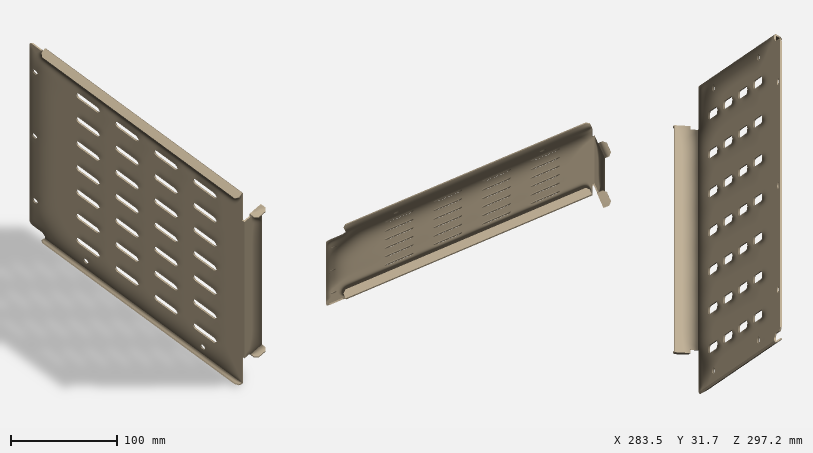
import cadquery as cq
import math

thickness = 1.5

overall_width = 283.5
overall_depth = 31.66
overall_height = 297.2
plate_right = 273.0

lip_left = 20.0
lip_slope = math.radians(30.0)
lip_projection = 7.2
lip_length = plate_right - lip_left
lip_corner_chamfer = 3.0

strip_height = 281.4
strip_corner_chamfer = 3.0
shoulder = 3.0

wall_outer_x = 276.0
wall_inner_x = wall_outer_x - thickness
wall_height = 212.0
hook_span = 218.5
hook_depth = 15.7
hook_corner_chamfer = 3.0

slot_length = 30.0
slot_width = 8.0
slot_columns = 4
slot_rows = 7
slot_pitch_x = 50.0
slot_pitch_z = 37.5
slot_first_x = 75.0

hole_diameter = 6.5
lip_hole_xs = (72.5, 222.5)
lip_hole_z = 136.0
side_hole_pitch = 100.0
side_hole_x = 7.5
middle_hole_x = 6.75

ridge_z = overall_height / 2
plate_top_z = ridge_z - thickness / math.cos(lip_slope)
rear_y = overall_depth - lip_projection
hook_front_y = rear_y - hook_depth


def box(x0, x1, y0, y1, z0, z1):
    """Axis-aligned block between two corners."""
    return cq.Workplane("XY").box(x1 - x0, y1 - y0, z1 - z0, centered=False).translate((x0, y0, z0))


def both_ends(shape):
    """The shape at the top end together with its mirror image at the bottom end."""
    return shape.union(shape.mirror("XY"))


def make_plate():
    """Flat plate with a chamfered narrow strip and a sloping shoulder up to the lips."""
    strip_top = strip_height / 2
    upper = [
        (0, strip_top - strip_corner_chamfer),
        (strip_corner_chamfer, strip_top),
        (lip_left - shoulder, strip_top),
        (lip_left, strip_top + shoulder),
        (lip_left, plate_top_z),
        (plate_right, plate_top_z),
    ]
    lower = [(x, -z) for x, z in reversed(upper)]
    return cq.Workplane("XZ").polyline(upper + lower).close().extrude(-thickness)


def make_lip():
    """Top lip: a sloping slab that meets the plate in a sharp ridge above the front face."""
    rise = lip_projection * math.tan(lip_slope)
    outer_tip = (-lip_projection, ridge_z - rise)
    inner_tip = (
        outer_tip[0] + thickness * math.sin(lip_slope),
        outer_tip[1] - thickness * math.cos(lip_slope),
    )
    lip = (
        cq.Workplane("YZ", origin=(lip_left, 0, 0))
        .polyline([(thickness, plate_top_z), (0, ridge_z), outer_tip, inner_tip, (0, plate_top_z)])
        .close()
        .extrude(lip_length)
    )
    across_sheet = cq.selectors.ParallelDirSelector(
        cq.Vector(0, math.sin(lip_slope), -math.cos(lip_slope))
    )
    return lip.faces("<Y").edges(across_sheet).chamfer(lip_corner_chamfer)


def make_wall():
    foot = box(plate_right, wall_outer_x, 0, thickness, -wall_height / 2, wall_height / 2)
    wall = box(wall_inner_x, wall_outer_x, 0, rear_y, -wall_height / 2, wall_height / 2)
    return foot.union(wall)


def make_hook():
    web = box(wall_inner_x, wall_outer_x, hook_front_y, rear_y, 0, hook_span / 2)
    flange = box(
        wall_inner_x, overall_width, hook_front_y, rear_y, hook_span / 2 - thickness, hook_span / 2
    )
    flange = flange.edges("|Z and >X").chamfer(hook_corner_chamfer)
    return web.union(flange)


def drill(x, z):
    return cq.Workplane("XZ", origin=(x, 0, z)).circle(hole_diameter / 2).extrude(-thickness)


def make_holes():
    holes = drill(middle_hole_x, 0)
    for side in (-1, 1):
        holes = holes.union(drill(side_hole_x, side * side_hole_pitch))
        for x in lip_hole_xs:
            holes = holes.union(drill(x, side * lip_hole_z))
    return holes


def make_slots():
    grid_center_x = slot_first_x + slot_pitch_x * (slot_columns - 1) / 2
    return (
        cq.Workplane("XZ", origin=(grid_center_x, 0, 0))
        .rarray(slot_pitch_x, slot_pitch_z, slot_columns, slot_rows)
        .slot2D(slot_length, slot_width)
        .extrude(-thickness)
    )


plate = make_plate().cut(make_holes()).cut(make_slots())
result = plate.union(both_ends(make_lip())).union(make_wall()).union(both_ends(make_hook()))